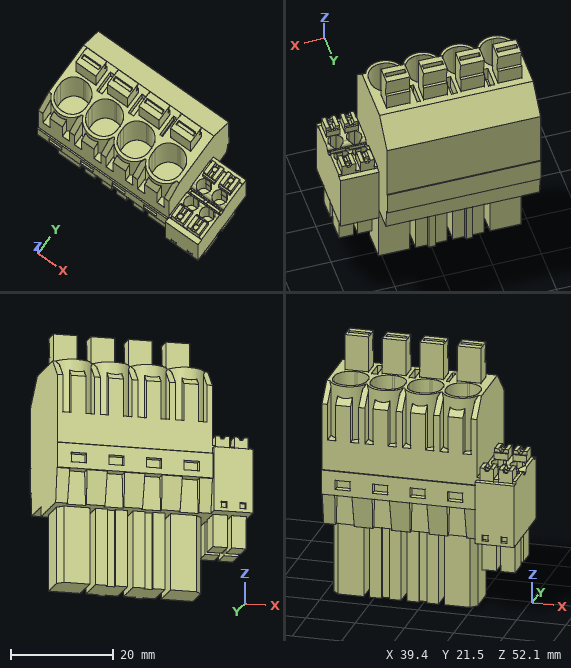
import cadquery as cq


overall_width = 39.4
overall_height = 52.1
back_y = 21.5
power_width = 31.5
housing_bottom = 15.5
housing_top = 44.75

wall_front_y = 1.2
wall_back_y = 21.3
band_front_y = 0.9
band_bottom = 22.25
band_top = 27.3
taper_inset = 0.45
foot_front_y = 2.45
foot_back_y = 20.55
heel_bottom = 17.45
heel_y = 13.6
front_chamfer_y = 4.7
front_chamfer_z = 41.1
back_chamfer_y = 16.3
back_chamfer_z = 39.75

pole_count = 4
pole_pitch = 7.6
first_pole_x = power_width / 2 - (pole_count - 1) / 2 * pole_pitch
pole_xs = [first_pole_x + i * pole_pitch for i in range(pole_count)]

wire_hole_y = 6.85
wire_hole_width = 6.9
wire_hole_length = 7.5
wire_hole_corner = 3.25
wire_hole_depth = 15.65
collar_y = 6.3
collar_radius = 4.0
collar_slot_inner = 1.5
collar_slot_outer = 3.2
collar_slot_bottom = 33.6

window_width = 3.1
window_bottom = 23.5
window_height = 1.95
window_depth = 1.3

relief_top_width = 3.5
relief_bottom_width = 3.85
relief_y = 3.2

vent_y = (10.4, 14.95)
vent_width = 1.25
last_vent_width = 0.6
vent_offset = 3.2
vent_depth = 3.15

plug_front_y = 4.7
plug_back_y = 11.95
plug_width = 6.45
plug_chamfer = 1.25
key_width = 1.6
key_depth = 0.7
key_flank_depth = 0.2
key_flank_inset = 0.15

lever_width = 4.85
lever_front_y = 11.15
lever_back_y = 14.8
lever_foot_depth = 5.2
grip_bottom = 48.1
grip_depth = 0.55
grip_arc_point = (14.4, 50.65)
lever_slot_width = 4.05
lever_slot_y = (12.5, 13.4)
lever_slot_depth = 1.05

module_depth = 16.1
module_rim_top = 28.4
module_deck_top = 28.9
module_rim = 1.2
column_pitch = 3.8
column_xs = [33.5, 33.5 + column_pitch]
valley_y = (7.35, 8.6)
valley_round = 0.85
trough_y = (7.65, 8.35)
trough_depth = 0.2
trough_pocket_width = 3.15
trough_pocket_depth = 0.75

signal_hole_radius = 1.5
signal_hole_length = 2.8
signal_hole_gap = 0.05
signal_hole_depth = 7.8
signal_window = 1.2
signal_window_bottom = 16.2
signal_window_depth = 0.8

signal_plug_width = 2.95
signal_plug_depth = 4.25
signal_plug_front_y = 2.95
signal_plug_bottom = 8.9

signal_lever_width = 2.8
signal_lever_depth = 3.3
signal_lever_top = 31.0
signal_lever_foot_depth = 4.15
signal_lever_step = 0.35
signal_lever_step_drop = 0.75
groove_top_width = 1.2
groove_bottom_width = 0.5
groove_depth = 0.55
pit_radius = 0.55
pit_depth = 1.05
pit_offset = 1.05

row_front_lever = (module_rim, module_rim + signal_lever_depth)
row_back_lever = (module_depth - module_rim - signal_lever_depth, module_depth - module_rim)
hole_clearance = signal_hole_gap + signal_hole_length / 2
signal_hole_ys = [row_front_lever[1] + hole_clearance, row_back_lever[0] - hole_clearance]


def block(x, y, z):
    """Box from (low, high) pairs along each axis."""
    size = (x[1] - x[0], y[1] - y[0], z[1] - z[0])
    return cq.Workplane("XY").box(*size, centered=False).translate((x[0], y[0], z[0]))


def centred(middle, width):
    """Low and high ends of a span about its middle."""
    return (middle - width / 2, middle + width / 2)


def upright_cylinder(x, y, radius, bottom, top):
    return cq.Workplane("XY", origin=(x, y, bottom)).circle(radius).extrude(top - bottom)


def power_shell():
    """Side profile extruded across all poles, with collars standing proud of the front chamfer."""
    profile = [
        (foot_front_y, housing_bottom),
        (band_front_y + taper_inset, band_bottom),
        (band_front_y, band_bottom),
        (band_front_y, band_top),
        (wall_front_y, band_top),
        (wall_front_y, front_chamfer_z),
        (front_chamfer_y, housing_top),
        (back_chamfer_y, housing_top),
        (wall_back_y, back_chamfer_z),
        (wall_back_y, band_top),
        (back_y, band_top),
        (back_y, band_bottom),
        (back_y - taper_inset, band_bottom),
        (foot_back_y, heel_bottom),
        (heel_y, heel_bottom),
        (heel_y, housing_bottom),
    ]
    shell = cq.Workplane("YZ").polyline(profile).close().extrude(power_width)
    for x in pole_xs:
        shell = shell.cut(collar_slots(x))
        shell = shell.union(collar(x))
    return shell


def collar(x):
    return upright_cylinder(x, collar_y, collar_radius, collar_slot_bottom, housing_top).intersect(
        block(centred(x, pole_pitch), (0, collar_y), (collar_slot_bottom, housing_top))
    )


def collar_slots(x):
    """Two vertical slots through the front wall, reaching in to the collar."""
    y = (0, collar_y)
    z = (collar_slot_bottom, housing_top)
    left = block((x - collar_slot_outer, x - collar_slot_inner), y, z)
    right = block((x + collar_slot_inner, x + collar_slot_outer), y, z)
    return left.union(right).cut(collar(x))


def wire_hole(x):
    """Blind hole of rounded-rectangle section, almost circular."""
    y = centred(wire_hole_y, wire_hole_length)
    hole = block(centred(x, wire_hole_width), y, (housing_top - wire_hole_depth, housing_top))
    return hole.edges("|Z").fillet(wire_hole_corner)


def band_window(x):
    y = (band_front_y, band_front_y + window_depth)
    return block(centred(x, window_width), y, (window_bottom, window_bottom + window_height))


def front_relief(x):
    """Recess in the tapered front, slightly wider at its lower end."""
    top = relief_top_width / 2
    bottom = relief_bottom_width / 2
    outline = [
        (x - bottom, housing_bottom),
        (x + bottom, housing_bottom),
        (x + top, band_bottom),
        (x - top, band_bottom),
    ]
    return cq.Workplane("XZ").polyline(outline).close().extrude(-relief_y)


def vents():
    """Slits between neighbouring levers; the last one is narrower."""
    widths = [vent_width] * (pole_count - 2) + [last_vent_width]
    z = (housing_top - vent_depth, housing_top)
    slits = cq.Workplane("XY")
    for x, width in zip(pole_xs, widths):
        left = x + vent_offset
        slits = slits.add(block((left, left + width), vent_y, z))
    return slits.combine()


def coding_rib(x):
    """Rib on the back of a plug, its sides leaning inwards near the tip."""
    left, right = x
    lean_y = plug_back_y + key_flank_depth
    tip_y = plug_back_y + key_depth
    outline = [
        (left, plug_back_y),
        (left, lean_y),
        (left + key_flank_inset, tip_y),
        (right - key_flank_inset, tip_y),
        (right, lean_y),
        (right, plug_back_y),
    ]
    return cq.Workplane("XY").polyline(outline).close().extrude(housing_bottom)


def power_plugs():
    """Contact sleeves below the housing, chamfered on the end poles and keyed on the inner ones."""
    z = (0, housing_bottom)
    plugs = []
    for x in pole_xs:
        plugs.append(block(centred(x, plug_width), (plug_front_y, plug_back_y), z))

    plugs[0] = plugs[0].edges("|Z and <X and <Y").chamfer(plug_chamfer)
    plugs[-1] = plugs[-1].edges("|Z and >X and <Y").chamfer(plug_chamfer)
    for i in range(1, pole_count - 1):
        key_x = centred(pole_xs[i], key_width)
        plugs[i] = plugs[i].cut(block(key_x, (plug_front_y, plug_front_y + key_depth), z))
        plugs[i] = plugs[i].union(coding_rib(key_x))
    return plugs


def power_lever(x):
    """Release lever with a screwdriver slot on top and a finger grip in its back."""
    bottom = housing_top - lever_foot_depth
    grip_y = lever_back_y - grip_depth
    lever = (
        cq.Workplane("YZ", origin=(x - lever_width / 2, 0, 0))
        .moveTo(lever_front_y, bottom)
        .lineTo(lever_back_y, bottom)
        .lineTo(lever_back_y, grip_bottom)
        .lineTo(grip_y, grip_bottom)
        .threePointArc(grip_arc_point, (lever_back_y, overall_height))
        .lineTo(lever_front_y, overall_height)
        .close()
        .extrude(lever_width)
    )
    slot_z = (overall_height - lever_slot_depth, overall_height)
    return lever.cut(block(centred(x, lever_slot_width), lever_slot_y, slot_z))


def lever_pocket(x):
    z = (housing_top - lever_foot_depth, housing_top)
    return block(centred(x, lever_width), (lever_front_y, lever_back_y), z)


def module_shell():
    """Module block with a raised deck and a rounded valley between the two rows."""
    front, back = valley_y
    valley_floor = module_deck_top - valley_round
    deck = (
        cq.Workplane("YZ", origin=(power_width, 0, 0))
        .moveTo(0, housing_bottom)
        .lineTo(0, module_rim_top)
        .lineTo(module_rim, module_rim_top)
        .lineTo(module_rim, module_deck_top)
        .lineTo(front - valley_round, module_deck_top)
        .radiusArc((front, valley_floor), valley_round)
        .lineTo(back, valley_floor)
        .radiusArc((back + valley_round, module_deck_top), valley_round)
        .lineTo(module_depth - module_rim, module_deck_top)
        .lineTo(module_depth - module_rim, module_rim_top)
        .lineTo(module_depth, module_rim_top)
        .lineTo(module_depth, housing_bottom)
        .close()
        .extrude(overall_width - power_width)
    )
    trough_z = (valley_floor - trough_depth, valley_floor)
    deck = deck.cut(block((power_width, overall_width), trough_y, trough_z))
    pocket_z = (valley_floor - trough_pocket_depth, valley_floor)
    for x in column_xs:
        deck = deck.cut(block(centred(x, trough_pocket_width), trough_y, pocket_z))
    return deck


def signal_hole(x, y):
    """Round blind hole with flats towards the lever and the valley."""
    bottom = module_deck_top - signal_hole_depth
    hole = upright_cylinder(x, y, signal_hole_radius, bottom, module_deck_top)
    clip_x = centred(x, 2 * signal_hole_radius)
    return hole.intersect(block(clip_x, centred(y, signal_hole_length), (bottom, module_deck_top)))


def module_cuts(x):
    """Wire holes, lever pockets and front window of one column."""
    cuts = block(
        centred(x, signal_window),
        (0, signal_window_depth),
        (signal_window_bottom, signal_window_bottom + signal_window),
    )
    for y in signal_hole_ys:
        cuts = cuts.union(signal_hole(x, y))
    pocket_z = (module_deck_top - signal_lever_foot_depth, module_deck_top)
    for row in (row_front_lever, row_back_lever):
        cuts = cuts.union(block(centred(x, signal_lever_width), row, pocket_z))
    return cuts


def signal_plugs():
    """Front and back contact sleeves below each column."""
    back_start = module_depth - signal_plug_front_y - signal_plug_depth
    plugs = []
    for x in column_xs:
        for y in (signal_plug_front_y, back_start):
            span = (y, y + signal_plug_depth)
            z = (signal_plug_bottom, housing_bottom)
            plugs.append(block(centred(x, signal_plug_width), span, z))
    return plugs


def front_signal_lever(x):
    """Front-row lever with a grooved top, a round pit and a low ledge at the wire hole side."""
    front, back = row_front_lever
    top = signal_lever_top
    bottom = module_deck_top - signal_lever_foot_depth
    lever = block(centred(x, signal_lever_width), row_front_lever, (bottom, top))
    ledge_z = (top - signal_lever_step_drop, top)
    ledge = block(centred(x, signal_lever_width), (back - signal_lever_step, back), ledge_z)
    groove_outline = [
        (x - groove_top_width / 2, top),
        (x + groove_top_width / 2, top),
        (x + groove_bottom_width / 2, top - groove_depth),
        (x - groove_bottom_width / 2, top - groove_depth),
    ]
    groove = cq.Workplane("XZ").polyline(groove_outline).close().extrude(-back)
    pit = upright_cylinder(x, front + pit_offset, pit_radius, top - pit_depth, top)
    return lever.cut(ledge).cut(groove).cut(pit)


def back_signal_lever(x):
    """Back-row lever: the front one mirrored about the middle of the module."""
    return front_signal_lever(x).mirror("XZ", (0, module_depth / 2, 0))


def build_housing():
    """Power housing and signal module as one moulding."""
    housing = power_shell().union(module_shell())
    for plug in power_plugs() + signal_plugs():
        housing = housing.union(plug)
    for x in pole_xs:
        housing = housing.cut(wire_hole(x))
        housing = housing.cut(band_window(x))
        housing = housing.cut(front_relief(x))
        housing = housing.cut(lever_pocket(x))
    housing = housing.cut(vents())
    for x in column_xs:
        housing = housing.cut(module_cuts(x))
    return housing


housing = build_housing()
power_levers = [power_lever(x).val() for x in pole_xs]
signal_levers = []
for column_x in column_xs:
    signal_levers.append(front_signal_lever(column_x).val())
    signal_levers.append(back_signal_lever(column_x).val())

result = cq.Compound.makeCompound([housing.val(), *power_levers, *signal_levers])